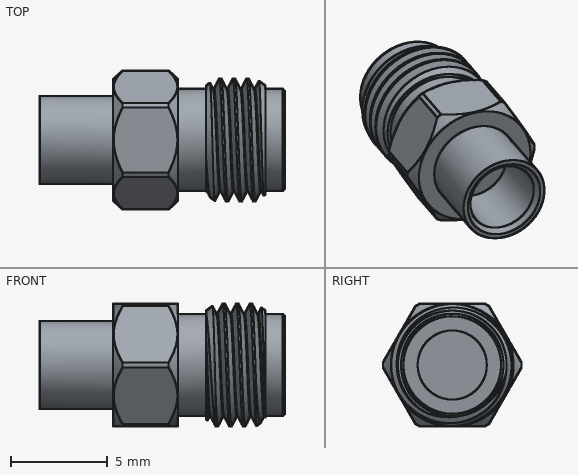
import cadquery as cq
import math

LENGTH = 12.7

TUBE_LENGTH = 3.81
TUBE_RADIUS = 2.29
BORE_RADIUS = 1.79
BORE_MOUTH_RADIUS = 2.05
BORE_DEPTH = TUBE_LENGTH
MOUTH_CHAMFER = BORE_MOUTH_RADIUS - BORE_RADIUS

HEX_END = 7.16
HEX_FLATS = 6.35
HEX_CORNER_RADIUS = 3.6
HEX_FACE_RADIUS = 3.15
HEX_CHAMFER_LENGTH = 0.48

BARREL_RADIUS = 2.65
BARREL_CHAMFER = 0.13

THREAD_START = 8.62
THREAD_END = 11.7
THREAD_RADIUS = 3.18
THREAD_TURNS_PER_DIAMETER = 9
THREAD_PITCH = 2 * THREAD_RADIUS / THREAD_TURNS_PER_DIAMETER
THREAD_ROOT_RADIUS = 2.67
THREAD_CREST_WIDTH = 0.11
THREAD_ROOT_WIDTH = 0.06
THREAD_END_RADIUS = 2.82
THREAD_CHAMFER_LENGTH = 0.48
GROOVE_START = 8.4
GROOVE_START_ANGLE = 140
GROOVE_TURNS = 6
CUT_MARGIN = 0.06


def revolve_x(points):
    """Solid of revolution about the X axis from (x, radius) points."""
    return cq.Workplane("XY").polyline(points).close().revolve(360, (0, 0, 0), (1, 0, 0))


def cylinder_x(start, end, radius):
    return cq.Workplane("YZ", origin=(start, 0, 0)).circle(radius).extrude(end - start)


def make_hexagon():
    """Hexagon with flats at top and bottom, corners turned down and both ends chamfered."""
    start = TUBE_LENGTH
    corner_diameter = HEX_FLATS / math.cos(math.pi / 6)
    prism = (
        cq.Workplane("YZ", origin=(start, 0, 0))
        .polygon(6, corner_diameter)
        .extrude(HEX_END - start)
    )
    envelope = revolve_x([
        (start, 0),
        (start, HEX_FACE_RADIUS),
        (start + HEX_CHAMFER_LENGTH, HEX_CORNER_RADIUS),
        (HEX_END - HEX_CHAMFER_LENGTH, HEX_CORNER_RADIUS),
        (HEX_END, HEX_FACE_RADIUS),
        (HEX_END, 0),
    ])
    return prism.intersect(envelope)


def make_groove_cutter():
    """Helical V cutter with a narrow flat root, swept along Z and then laid along X."""
    outer_radius = THREAD_RADIUS + CUT_MARGIN
    crest_half = (THREAD_PITCH - THREAD_CREST_WIDTH) / 2
    root_half = THREAD_ROOT_WIDTH / 2
    flank_slope = (crest_half - root_half) / (THREAD_RADIUS - THREAD_ROOT_RADIUS)
    outer_half = crest_half + CUT_MARGIN * flank_slope
    helix = cq.Wire.makeHelix(THREAD_PITCH, GROOVE_TURNS * THREAD_PITCH, THREAD_ROOT_RADIUS)
    cutter = (
        cq.Workplane("XZ")
        .polyline([
            (THREAD_ROOT_RADIUS, -root_half),
            (outer_radius, -outer_half),
            (outer_radius, outer_half),
            (THREAD_ROOT_RADIUS, root_half),
        ])
        .close()
        .sweep(cq.Workplane(obj=helix), isFrenet=True)
    )
    return (
        cutter.rotate((0, 0, 0), (0, 1, 0), 90)
        .rotate((0, 0, 0), (1, 0, 0), GROOVE_START_ANGLE)
        .translate((GROOVE_START, 0, 0))
    )


def make_thread():
    """Threaded band with coned ends."""
    blank = revolve_x([
        (THREAD_START, 0),
        (THREAD_START, THREAD_END_RADIUS),
        (THREAD_START + THREAD_CHAMFER_LENGTH, THREAD_RADIUS),
        (THREAD_END - THREAD_CHAMFER_LENGTH, THREAD_RADIUS),
        (THREAD_END, THREAD_END_RADIUS),
        (THREAD_END, 0),
    ])
    return blank.cut(make_groove_cutter())


def make_shell():
    """Tube, hexagon and threaded barrel in one piece, bored right through."""
    tube = cylinder_x(0, TUBE_LENGTH, TUBE_RADIUS)
    barrel = cylinder_x(HEX_END, LENGTH, BARREL_RADIUS).faces(">X").chamfer(BARREL_CHAMFER)
    bore = cylinder_x(0, LENGTH, BORE_RADIUS)
    mouth = revolve_x([
        (0, 0),
        (0, BORE_MOUTH_RADIUS),
        (MOUTH_CHAMFER, BORE_RADIUS),
        (MOUTH_CHAMFER, 0),
    ])
    outside = tube.union(make_hexagon()).union(barrel).union(make_thread())
    return outside.cut(bore).cut(mouth)


def make_insulator():
    """Plain plug that closes the bore and forms the floor of the cable socket."""
    return cylinder_x(BORE_DEPTH, LENGTH, BORE_RADIUS)


shell = make_shell()
insulator = make_insulator()

result = cq.Compound.makeCompound([shell.solids().val(), insulator.val()])